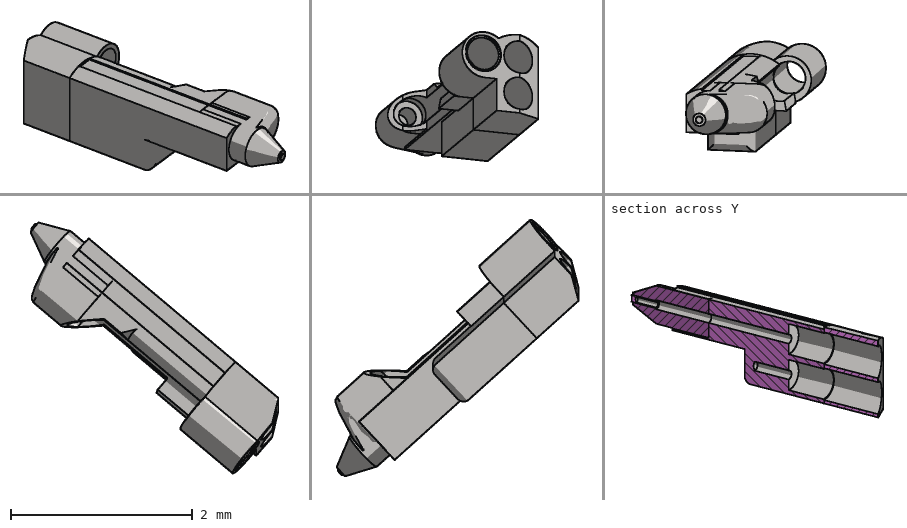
import cadquery as cq
import math

length = 3.45
block_end = 0.76
ledge_end = 1.25
leg_end = 1.87
plate_start = 1.818
nose_start = 2.37
main_end = 2.88
wing_end = 2.898
blend_end = 3.09
cone_start = 3.1
cone_end = 3.433

axis_y = 0.27
upper_z = 0.645
lower_z = 0.228
body_width = 2 * axis_y
corner_z = 0.82
entry_crown_z = 0.9
crown_z = 0.897
crown_rise = crown_z - corner_z
crown_radius = (axis_y**2 + crown_rise**2) / (2 * crown_rise)
crown_center_z = crown_z - crown_radius
upper_width = 0.58
main_bottom_z = 0.395
entry_chamfer = 0.138

side_y = 0.69
tube_y = 0.675
tube_z = 0.628
tube_radius = 0.262
tube_bottom_z = tube_z - tube_radius

entry_diameter = 0.365
seat_diameter = 0.35
side_lip_diameter = 0.41
side_lip_depth = 0.02
passage_diameter = 0.1
lower_passage_end = 1.725
side_seat_end = 2.485
side_hole_diameter = 0.2
side_hole_end = 2.76
drill_tip_ratio = 0.15

ledge_top_y = 0.745
ledge_outer_y = 0.765

leg_side_round = 0.095
leg_bottom_round = 0.085

nose_radius = 0.225
wing_top_z = upper_z + nose_radius
wing_spread = side_y - axis_y
slant_start = 2.165
wing_root = 1.932
plate_ramp = 0.105
cone_end_diameter = 0.14
needle_diameter = 0.075
needle_bore_diameter = 0.06
needle_bore_end = 3.38
blend_sections = 10
blend_sag = 0.0085
blend_bias = 1.5

slot_y = 0.175
slot_width = 0.195


def box(x0, x1, y0, y1, z0, z1):
    """Box between the given limits."""
    return cq.Workplane("XY").box(x1 - x0, y1 - y0, z1 - z0, centered=False).translate((x0, y0, z0))


def rod(diameter, y, z, x0, x1):
    """Cylinder along X."""
    return cq.Workplane("YZ", origin=(x0, y, z)).circle(diameter / 2).extrude(x1 - x0)


def cone(start_diameter, end_diameter, y, z, x0, x1):
    """Truncated cone along X; an end diameter of zero gives a point."""
    axis_point = cq.Vector(x0, y, z)
    return cq.Workplane(cq.Solid.makeCone(
        start_diameter / 2, end_diameter / 2, x1 - x0, axis_point, cq.Vector(1, 0, 0)))


def blind_hole(diameter, y, z, x0, x1):
    """Drilled hole along X with a pointed end beyond x1."""
    tip = cone(diameter, 0, y, z, x1, x1 + drill_tip_ratio * diameter)
    return rod(diameter, y, z, x0, x1).union(tip)


def crown_height(y):
    """Z of the crown arc at the given Y."""
    return crown_center_z + math.sqrt(crown_radius**2 - (y - axis_y) ** 2)


def crowned_section(x, width, bottom_z, top_z, far_corner_z):
    """Section with a flat bottom, flat sides and the crown arc on top."""
    return (
        cq.Workplane("YZ", origin=(x, 0, 0))
        .moveTo(0, bottom_z)
        .lineTo(width, bottom_z)
        .lineTo(width, far_corner_z)
        .threePointArc((axis_y, top_z), (0, corner_z))
        .close()
    )


def stadium(x, radius, spread):
    """Section with two equal round ends, one on the upper axis and one shifted by spread in +Y."""
    return (
        cq.Workplane("YZ", origin=(x, axis_y, upper_z))
        .moveTo(0, -radius)
        .lineTo(spread, -radius)
        .threePointArc((spread + radius, 0), (spread, radius))
        .lineTo(0, radius)
        .threePointArc((-radius, 0), (0, -radius))
        .close()
    )


def wing_prism(x0, x1):
    """Full wing section along X, with its round ends on the upper and the side axis."""
    return stadium(x0, nose_radius, wing_spread).extrude(x1 - x0)


def cut_slant(wing):
    """Cut the wing's leading side at 45 degrees."""
    slant_zero = slant_start - upper_width
    cutter = (
        cq.Workplane("XY")
        .polyline([(0, 0), (slant_zero, 0), (slant_zero + length, length), (0, length)])
        .close()
        .extrude(length)
    )
    return wing.cut(cutter)


def make_block():
    tube = rod(2 * tube_radius, tube_y, tube_z, 0, block_end)
    web = box(0, block_end, axis_y, tube_y, tube_bottom_z, upper_z)
    open_end = crowned_section(0, body_width, 0, entry_crown_z, corner_z).val()
    joint_end = crowned_section(block_end, body_width, 0, crown_z, corner_z).val()
    block = cq.Workplane(cq.Solid.makeLoft([open_end, joint_end], True))
    block = block.union(web).union(tube)
    bevel = (
        cq.Workplane("XY")
        .polyline([(0, 0), (entry_chamfer, 0), (0, axis_y)])
        .close()
        .extrude(entry_crown_z)
    )
    block = block.cut(bevel)
    for y, z in [(axis_y, upper_z), (axis_y, lower_z), (side_y, upper_z)]:
        block = block.cut(rod(entry_diameter, y, z, 0, block_end))
    return block.cut(rod(side_lip_diameter, side_y, upper_z, 0, side_lip_depth))


def make_blend():
    """S-shaped narrowing from the wing's full section into the round nose."""
    wires = []
    for i in range(blend_sections):
        t = i / blend_sections
        spread = wing_spread * (1 + math.cos(math.pi * t**blend_bias)) / 2
        radius = nose_radius - blend_sag * math.sin(math.pi * t)
        x = wing_end + t * (blend_end - wing_end)
        wires.append(stadium(x, radius, spread).val())
    return cq.Workplane(cq.Solid.makeLoft(wires))


def make_nose():
    nose = cut_slant(wing_prism(nose_start, wing_end)).union(make_blend())
    nose = nose.union(rod(2 * nose_radius, axis_y, upper_z, nose_start, cone_start))
    nose = nose.union(cone(2 * nose_radius, cone_end_diameter, axis_y, upper_z, cone_start, cone_end))
    nose = nose.cut(rod(passage_diameter, axis_y, upper_z, nose_start, cone_start))
    nose = nose.cut(rod(needle_diameter, axis_y, upper_z, cone_start, cone_end))
    nose = nose.cut(rod(seat_diameter, side_y, upper_z, nose_start, side_seat_end))
    return nose.cut(blind_hole(side_hole_diameter, side_y, upper_z, side_seat_end, side_hole_end))


def make_needle():
    needle = rod(needle_diameter, axis_y, upper_z, cone_start, length)
    return needle.cut(blind_hole(needle_bore_diameter, axis_y, upper_z, cone_start, needle_bore_end))


def make_leg():
    """Lower leg whose free end is rounded at both sides and at the bottom."""
    leg = box(block_end, leg_end, 0, body_width, 0, upper_z)
    side_rounded = leg.edges("|Z and >X").fillet(leg_side_round)
    bottom_rounded = leg.edges("|Y and >X and <Z").fillet(leg_bottom_round)
    return side_rounded.intersect(bottom_rounded)


def make_ledge():
    """Ledge below the side bore, with a slanted outer edge."""
    bore_radius = seat_diameter / 2
    bore_edge_z = upper_z - math.sqrt(bore_radius**2 - (ledge_top_y - side_y) ** 2)
    outline = [
        (axis_y, tube_bottom_z),
        (ledge_outer_y, tube_bottom_z),
        (ledge_top_y, bore_edge_z),
        (axis_y, upper_z),
    ]
    return (
        cq.Workplane("YZ", origin=(block_end, 0, 0))
        .polyline(outline)
        .close()
        .extrude(ledge_end - block_end)
    )


def make_plate():
    """Flat plate on the crown's flank, with a ramp at its start."""
    low_z = crown_height(upper_width)
    inner_y = axis_y + math.sqrt(crown_radius**2 - (wing_top_z - crown_center_z) ** 2)
    plate = box(plate_start, nose_start, inner_y, upper_width, low_z, wing_top_z)
    top_inner = (plate_start, inner_y, wing_top_z)
    top_outer = (plate_start, upper_width, wing_top_z)
    bottom_outer = (plate_start, upper_width, low_z)
    ramp_top = (plate_start + plate_ramp, upper_width, wing_top_z)
    ramp_sides = [
        (top_inner, top_outer, bottom_outer),
        (top_inner, top_outer, ramp_top),
        (top_outer, bottom_outer, ramp_top),
        (top_inner, bottom_outer, ramp_top),
    ]
    faces = []
    for corners in ramp_sides:
        outline = cq.Wire.makePolygon([cq.Vector(*corner) for corner in corners], close=True)
        faces.append(cq.Face.makeFromWires(outline))
    ramp = cq.Solid.makeSolid(cq.Shell.makeShell(faces))
    return plate.cut(cq.Workplane(ramp))


def make_main_body():
    section = crowned_section(block_end, upper_width, main_bottom_z, crown_z, crown_height(upper_width))
    body = section.extrude(main_end - block_end)
    body = body.cut(box(block_end, main_end, slot_y, slot_y + slot_width, wing_top_z, crown_z))
    body = body.union(make_leg()).union(make_ledge()).union(make_plate())
    body = body.union(cut_slant(wing_prism(wing_root, nose_start)))
    body = body.cut(rod(seat_diameter, side_y, upper_z, block_end, nose_start))
    for z in [upper_z, lower_z]:
        body = body.cut(rod(seat_diameter, axis_y, z, block_end, ledge_end))
    body = body.cut(rod(passage_diameter, axis_y, upper_z, ledge_end, nose_start))
    body = body.cut(blind_hole(passage_diameter, axis_y, lower_z, ledge_end, lower_passage_end))
    return body.cut(wing_prism(nose_start, main_end))


block = make_block()
main_body = make_main_body()
nose = make_nose()
needle = make_needle()
result = cq.Compound.makeCompound([
    block.val().Solids()[0],
    main_body.val().Solids()[0],
    nose.val().Solids()[0],
    needle.val().Solids()[0],
])